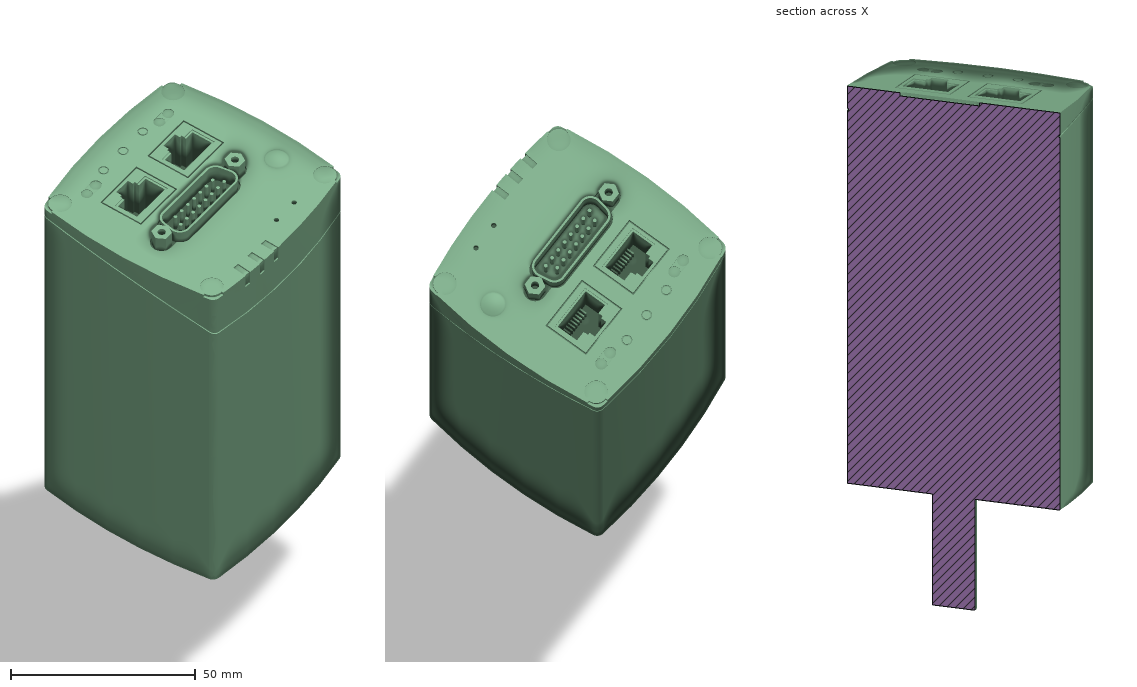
import cadquery as cq
import math

SIZE_X = 63.0
SIZE_Y = 63.0
TOTAL_HEIGHT = 148.1
SHAFT_DIAMETER = 12.7
SHAFT_LENGTH = 31.4
STANDOFF_HEIGHT = 4.1
HOUSING_HEIGHT = TOTAL_HEIGHT - SHAFT_LENGTH - STANDOFF_HEIGHT
SIDE_RADIUS = 170.3
CORNER_RADIUS = 2.4

SEAM_START_X = -29.6
SEAM_BELOW_TOP = 4.0
SEAM_RADIUS = 170.3
SEAM_WIDTH = 0.5
SEAM_DEPTH = 0.3

CAP_DIAMETER = 6.4
CAP_OFFSET = 25.6
CAP_DROP = 0.1
CORNER_DROP = 0.9

BUTTON_CENTER = (11.7, 22.5)
BUTTON_DIAMETER = 7.0
BUTTON_HEIGHT = 0.9

WINDOW_X = -21.9
WINDOW_PAIR_Y = 16.5
WINDOW_PITCH = 4.0
WINDOW_DIAMETER = 3.3
WINDOW_DEPTH = 0.1
RING_X = -23.4
RING_COUNT = 3
RING_PITCH = 8.9
RING_OUTER_DIAMETER = 3.0
RING_INNER_DIAMETER = 2.2
RING_DEPTH = 0.3
PINHOLE_X = 25.0
PINHOLE_YS = (4.5, 12.5)
PINHOLE_DIAMETER = 1.5
PINHOLE_DEPTH = 1.5

NOTCH_YS = (-4.3, -10.2, -16.1)
NOTCH_LENGTH = 4.5
NOTCH_WIDTH = 1.9
NOTCH_HEIGHT = 4.5
NOTCH_DEPTH = 0.5

JACK_X = -10.2
JACK_OFFSET_Y = 10.7
JACK_OPENING_X = 13.8
JACK_OPENING_Y = 16.5
JACK_GAP = 0.5
JACK_GAP_DEPTH = 0.7
PLUG_WALL_X = -6.0
PLUG_LENGTH = 6.5
PLUG_WIDTH = 12.6
PLUG_RIM = 0.6
PLUG_RIM_DEPTH = 0.3
LATCH_REACH = 8.0
LATCH_WIDTH = 6.7
KEY_REACH = 9.8
KEY_WIDTH = 5.2
PLUG_DEPTH = 11.8
CONTACT_COUNT = 8
CONTACT_PITCH = 1.02
CONTACT_WIDTH = 0.5
CONTACT_LENGTH = 2.2
CONTACT_HEIGHT = 3.0

CONNECTOR_CENTER = (5.0, -4.1)
CONNECTOR_TAPER = 10.0
SHELL_WIDTH = 9.6
SHELL_LENGTH = 27.0
SHELL_CORNER = 3.3
SHELL_HEIGHT = 3.1
SHELL_WALL = 0.6
SHELL_DEPTH = 2.2
RECESS_WIDTH = 10.8
RECESS_LENGTH = 28.0
RECESS_CORNER = 3.5
RECESS_DEPTH = 0.9
EAR_DIAMETER = 6.4
STANDOFF_PITCH = 33.2
STANDOFF_FLATS = 4.9
STANDOFF_HOLE = 2.2
STANDOFF_HOLE_DEPTH = 3.7
PIN_DIAMETER = 1.0
PIN_PROUD = 2.2
PIN_PITCH = 2.8
PIN_ROW_SPACING = 2.8
PIN_LONG_ROW = 8
PIN_SHORT_ROW = 7

TOP = HOUSING_HEIGHT


def at(z, x=0.0, y=0.0):
    """Workplane parallel to XY with its origin at the given point."""
    return cq.Workplane("XY", origin=(x, y, z))


def box(x_min, x_max, y_min, y_max, z_min, z_max):
    size = (x_max - x_min, y_max - y_min, z_max - z_min)
    return at(z_min, x_min, y_min).box(*size, centered=False)


def spread(count, pitch):
    """Positions evenly spaced about zero."""
    return [(i - (count - 1) / 2) * pitch for i in range(count)]


def bulged_prism(inset, height):
    """Prism whose four sides are shallow arcs, moved inward by inset."""
    half_x = SIZE_X / 2 - inset
    half_y = SIZE_Y / 2 - inset
    radius = SIDE_RADIUS - inset
    prism = at(0).rect(SIZE_X, SIZE_Y).extrude(height)
    for sign in (1, -1):
        prism = prism.intersect(at(0, sign * (half_x - radius)).circle(radius).extrude(height))
        prism = prism.intersect(at(0, 0, sign * (half_y - radius)).circle(radius).extrude(height))
    return prism.edges("|Z").fillet(CORNER_RADIUS - inset)


def seam_sheet():
    """Curved slab, extruded along Y, that follows the parting line."""
    start_z = TOP - SEAM_BELOW_TOP
    end_angle = math.asin((SIZE_X / 2 + 1.5 - SEAM_START_X) / SEAM_RADIUS)
    left_x = -SIZE_X / 2 - 1.5

    def on_arc(angle, radius):
        x = SEAM_START_X + radius * math.sin(angle)
        z = start_z - SEAM_RADIUS + radius * math.cos(angle)
        return (x, z)

    outer = SEAM_RADIUS + SEAM_WIDTH / 2
    inner = SEAM_RADIUS - SEAM_WIDTH / 2
    return (
        cq.Workplane("XZ")
        .moveTo(left_x, start_z + SEAM_WIDTH / 2)
        .lineTo(*on_arc(0, outer))
        .threePointArc(on_arc(end_angle / 2, outer), on_arc(end_angle, outer))
        .lineTo(*on_arc(end_angle, inner))
        .threePointArc(on_arc(end_angle / 2, inner), on_arc(0, inner))
        .lineTo(left_x, start_z - SEAM_WIDTH / 2)
        .close()
        .extrude(SIZE_Y, both=True)
    )


def make_housing():
    housing = bulged_prism(0, HOUSING_HEIGHT)
    core = bulged_prism(SEAM_DEPTH, HOUSING_HEIGHT)
    return housing.cut(seam_sheet().cut(core))


def add_corner_caps(body):
    """Lower the corner tips and set a round cap, just below the cover face, at each corner."""
    centers = [(sx * CAP_OFFSET, sy * CAP_OFFSET) for sx in (1, -1) for sy in (1, -1)]
    for x, y in centers:
        outer_x = math.copysign(SIZE_X / 2, x)
        outer_y = math.copysign(SIZE_Y / 2, y)
        x_min, x_max = sorted((x, outer_x))
        y_min, y_max = sorted((y, outer_y))
        body = body.cut(box(x_min, x_max, y_min, y_max, TOP - CORNER_DROP, TOP))
    caps = at(TOP - CORNER_DROP).pushPoints(centers).circle(CAP_DIAMETER / 2).extrude(CORNER_DROP)
    return body.cut(caps).union(caps.translate((0, 0, -CAP_DROP)))


def make_button():
    """Spherical cap sitting on the cover."""
    half = BUTTON_DIAMETER / 2
    radius = (half**2 + BUTTON_HEIGHT**2) / (2 * BUTTON_HEIGHT)
    ball = at(TOP + BUTTON_HEIGHT - radius, *BUTTON_CENTER).sphere(radius)
    return ball.intersect(at(TOP, *BUTTON_CENTER).circle(half).extrude(BUTTON_HEIGHT))


def cut_indicators(body):
    pairs = [(WINDOW_X, side * WINDOW_PAIR_Y) for side in (1, -1)]
    slots = at(TOP).pushPoints(pairs).slot2D(WINDOW_PITCH + WINDOW_DIAMETER, WINDOW_DIAMETER, 90)
    body = body.cut(slots.extrude(-WINDOW_DEPTH))
    windows = [(x, y + dy) for x, y in pairs for dy in spread(2, WINDOW_PITCH)]
    body = body.cut(at(TOP).pushPoints(windows).circle(WINDOW_DIAMETER / 2).extrude(-2 * WINDOW_DEPTH))

    rings = [(RING_X, y) for y in spread(RING_COUNT, RING_PITCH)]
    ring_cut = at(TOP).pushPoints(rings).circle(RING_OUTER_DIAMETER / 2).extrude(-RING_DEPTH)
    ring_core = at(TOP).pushPoints(rings).circle(RING_INNER_DIAMETER / 2).extrude(-RING_DEPTH)
    body = body.cut(ring_cut.cut(ring_core))

    pinholes = [(PINHOLE_X, y) for y in PINHOLE_YS]
    return body.cut(at(TOP).pushPoints(pinholes).circle(PINHOLE_DIAMETER / 2).extrude(-PINHOLE_DEPTH))


def cut_notches(body):
    arc_center_x = SIZE_X / 2 - SIDE_RADIUS
    for y in NOTCH_YS:
        angle = math.degrees(math.asin(y / SIDE_RADIUS))
        inner = SIDE_RADIUS - NOTCH_LENGTH
        outer = SIDE_RADIUS + NOTCH_DEPTH
        half = NOTCH_WIDTH / 2
        notch = box(inner, outer, -half, half, TOP - NOTCH_DEPTH, TOP)
        notch = notch.union(box(SIDE_RADIUS - NOTCH_DEPTH, outer, -half, half, TOP - NOTCH_HEIGHT, TOP))
        body = body.cut(notch.rotate((0, 0, 0), (0, 0, 1), angle).translate((arc_center_x, 0, 0)))
    return body


def cut_jack(body, y):
    """Jack face framed by a narrow gap, with a stepped plug cavity and contacts."""
    frame = at(TOP, JACK_X, y).rect(JACK_OPENING_X, JACK_OPENING_Y)
    frame = frame.rect(JACK_OPENING_X - 2 * JACK_GAP, JACK_OPENING_Y - 2 * JACK_GAP).extrude(-JACK_GAP_DEPTH)
    body = body.cut(frame)

    floor = TOP - PLUG_DEPTH
    cavity = cq.Workplane("XY")
    for length, width in ((PLUG_LENGTH, PLUG_WIDTH), (LATCH_REACH, LATCH_WIDTH), (KEY_REACH, KEY_WIDTH)):
        step = box(PLUG_WALL_X - length, PLUG_WALL_X, y - width / 2, y + width / 2, floor, TOP)
        cavity = cavity.union(step)
    body = body.cut(cavity.clean())
    plug_center_x = PLUG_WALL_X - PLUG_LENGTH / 2
    rim = at(TOP, plug_center_x, y).rect(PLUG_LENGTH + 2 * PLUG_RIM, PLUG_WIDTH + 2 * PLUG_RIM)
    body = body.cut(rim.extrude(-PLUG_RIM_DEPTH))

    contact_x = PLUG_WALL_X - CONTACT_LENGTH / 2
    contacts = [(contact_x, y + dy) for dy in spread(CONTACT_COUNT, CONTACT_PITCH)]
    contact_bars = at(floor).pushPoints(contacts).rect(CONTACT_LENGTH, CONTACT_WIDTH)
    return body.union(contact_bars.extrude(CONTACT_HEIGHT))


def d_prism(width, length, corner, z_min, z_max):
    """D-shaped prism with rounded corners and its longer side toward +X."""
    slant = width / 2 * math.tan(math.radians(CONNECTOR_TAPER))
    long_half = length / 2 + slant
    short_half = length / 2 - slant
    outline = [
        (width / 2, long_half),
        (width / 2, -long_half),
        (-width / 2, -short_half),
        (-width / 2, short_half),
    ]
    prism = at(z_min, *CONNECTOR_CENTER).polyline(outline).close().extrude(z_max - z_min)
    return prism.edges("|Z").fillet(corner)


def add_connector(body):
    recess_floor = TOP - RECESS_DEPTH
    shell_top = TOP + SHELL_HEIGHT
    cavity_floor = TOP - SHELL_DEPTH

    body = body.cut(d_prism(RECESS_WIDTH, RECESS_LENGTH, RECESS_CORNER, recess_floor, TOP))
    ears = at(recess_floor, *CONNECTOR_CENTER).slot2D(STANDOFF_PITCH + EAR_DIAMETER, EAR_DIAMETER, 90)
    body = body.cut(ears.extrude(RECESS_DEPTH))

    body = body.union(d_prism(SHELL_WIDTH, SHELL_LENGTH, SHELL_CORNER, recess_floor, shell_top))
    inner_width = SHELL_WIDTH - 2 * SHELL_WALL
    inner_length = SHELL_LENGTH - 2 * SHELL_WALL
    body = body.cut(d_prism(inner_width, inner_length, SHELL_CORNER - SHELL_WALL, cavity_floor, shell_top))

    pins = [(PIN_ROW_SPACING / 2, y) for y in spread(PIN_LONG_ROW, PIN_PITCH)]
    pins += [(-PIN_ROW_SPACING / 2, y) for y in spread(PIN_SHORT_ROW, PIN_PITCH)]
    pin_plane = at(cavity_floor, *CONNECTOR_CENTER).pushPoints(pins)
    body = body.union(pin_plane.circle(PIN_DIAMETER / 2).extrude(TOP - cavity_floor + PIN_PROUD))

    corner_diameter = STANDOFF_FLATS / math.cos(math.pi / 6)
    standoff_top = TOP + STANDOFF_HEIGHT
    standoff = at(recess_floor).polygon(6, corner_diameter).extrude(standoff_top - recess_floor)
    standoff = standoff.rotate((0, 0, 0), (0, 0, 1), 90)
    bore = at(standoff_top - STANDOFF_HOLE_DEPTH).circle(STANDOFF_HOLE / 2).extrude(STANDOFF_HOLE_DEPTH)
    standoff = standoff.cut(bore)
    for dy in spread(2, STANDOFF_PITCH):
        place = (CONNECTOR_CENTER[0], CONNECTOR_CENTER[1] + dy, 0)
        body = body.union(standoff.translate(place))
    return body


body = make_housing()
body = body.union(at(0).circle(SHAFT_DIAMETER / 2).extrude(-SHAFT_LENGTH))
body = add_corner_caps(body)
body = body.union(make_button())
body = cut_indicators(body)
body = cut_notches(body)
for side in (1, -1):
    body = cut_jack(body, side * JACK_OFFSET_Y)
result = add_connector(body).clean()